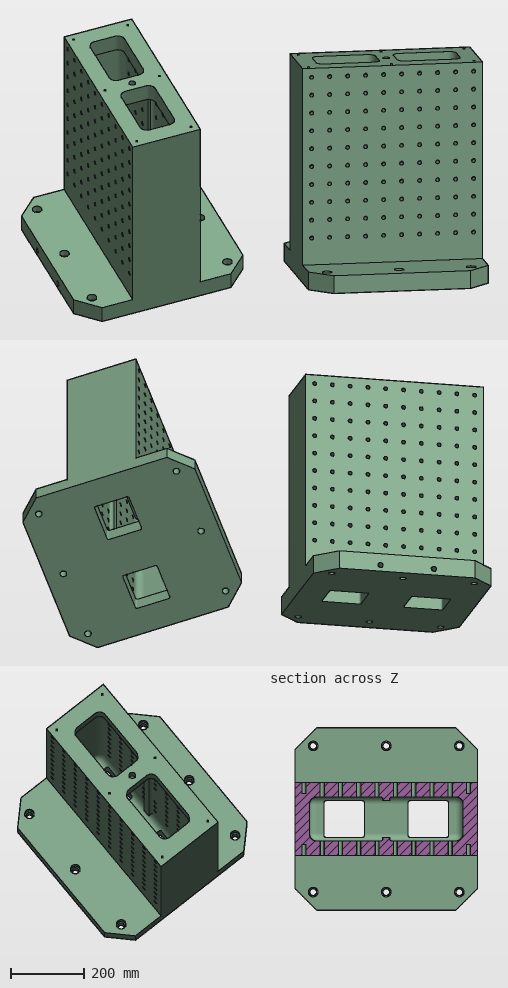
import math

import cadquery as cq

BASE_SIDE = 500
BASE_THICKNESS = 50
BASE_CORNER_CHAMFER = 60

TOTAL_HEIGHT = 600
COLUMN_DEPTH = 200

TOP_PLATE_THICKNESS = 50
CAVITY_LENGTH = 420
CAVITY_WIDTH = 120
CAVITY_RADIUS = 20
CAVITY_TOP = TOTAL_HEIGHT - TOP_PLATE_THICKNESS
CAVITY_HEIGHT = CAVITY_TOP - BASE_THICKNESS

RIB_WIDTH = 20
RIB_PROJECTION = 10
RIB_FILLET = 5

TOP_OPENING_LENGTH = 175
TOP_OPENING_WIDTH = 100
TOP_OPENING_WEB = 50
TOP_OPENING_X = (TOP_OPENING_WEB + TOP_OPENING_LENGTH) / 2

FLOOR_OPENING_LENGTH = 110
FLOOR_OPENING_WIDTH = 100
FLOOR_OPENING_RADIUS = 5
FLOOR_OPENING_X = 115

GRID_COUNT = 10
GRID_PITCH = 50
GRID_TOP_MARGIN = 25
GRID_DIAMETER = 10.2
GRID_BLIND_DEPTH = 30
GRID_THROUGH_DEPTH = (COLUMN_DEPTH - CAVITY_WIDTH) / 2
GRID_BLIND_MIDDLE = [(5, 4), (5, 5), (6, 4), (6, 5)]

MOUNT_SPACING = 200
MOUNT_DIAMETER = 18
MOUNT_BORE_DIAMETER = 26
MOUNT_BORE_DEPTH = 20

LIFT_DIAMETER = 17.5
LIFT_DEPTH = 40

COVER_X_SPACING = 230
COVER_Y = 80
COVER_DIAMETER = 5
COVER_DEPTH = 15

EDGE_HOLE_X = 75
EDGE_HOLE_Z = 17.5
EDGE_HOLE_DIAMETER = 14
EDGE_HOLE_DEPTH = 30

DRILL_POINT_ANGLE = 118

DOWN = cq.Vector(0, 0, -1)
BACKWARD = cq.Vector(0, 1, 0)
FORWARD = cq.Vector(0, -1, 0)


def standing_box(length, width, height, bottom):
    """Box centred on the Z axis that stands on the level bottom."""
    return cq.Workplane("XY", origin=(0, 0, bottom)).box(
        length, width, height, centered=(True, True, False)
    )


def flat_hole(mouth, direction, diameter, depth):
    """Cutter for a flat-ended hole that starts at mouth."""
    return cq.Solid.makeCylinder(diameter / 2, depth, cq.Vector(*mouth), direction)


def pointed_hole(mouth, direction, diameter, depth):
    """Cutter for a blind hole that ends in a drill point."""
    radius = diameter / 2
    point_length = radius / math.tan(math.radians(DRILL_POINT_ANGLE / 2))
    shank = flat_hole(mouth, direction, diameter, depth)
    shank_end = cq.Vector(*mouth) + direction * depth
    point = cq.Solid.makeCone(radius, 0, point_length, shank_end, direction)
    return shank.fuse(point)


def make_body():
    """Base plate with chamfered corners and the solid column on it."""
    base = standing_box(BASE_SIDE, BASE_SIDE, BASE_THICKNESS, 0)
    base = base.edges("|Z").chamfer(BASE_CORNER_CHAMFER)
    column = standing_box(BASE_SIDE, COLUMN_DEPTH, TOTAL_HEIGHT - BASE_THICKNESS, BASE_THICKNESS)
    return base.union(column)


def make_cavity():
    """Interior with rounded corners, a rounded floor edge and two wall ribs left standing."""
    cavity = standing_box(CAVITY_LENGTH, CAVITY_WIDTH, CAVITY_HEIGHT, BASE_THICKNESS)
    cavity = cavity.edges("|Z").fillet(CAVITY_RADIUS)
    cavity = cavity.faces("<Z").edges().fillet(CAVITY_RADIUS)
    return cavity.cut(make_rib(1)).cut(make_rib(-1))


def make_rib(side):
    """Rib on the +Y (side 1) or -Y (side -1) cavity wall, flared into it by fillets."""
    wall_y = side * CAVITY_WIDTH / 2
    crest_y = wall_y - side * RIB_PROJECTION
    flare_y = wall_y - side * RIB_FILLET
    half_width = RIB_WIDTH / 2
    root_x = half_width + RIB_FILLET
    arc_inset = RIB_FILLET * (1 - math.sqrt(0.5))
    arc_x = half_width + arc_inset
    arc_y = wall_y - side * arc_inset
    return (
        cq.Workplane("XY", origin=(0, 0, BASE_THICKNESS))
        .moveTo(-root_x, wall_y)
        .threePointArc((-arc_x, arc_y), (-half_width, flare_y))
        .lineTo(-half_width, crest_y)
        .lineTo(half_width, crest_y)
        .lineTo(half_width, flare_y)
        .threePointArc((arc_x, arc_y), (root_x, wall_y))
        .close()
        .extrude(CAVITY_HEIGHT)
    )


def opening_pair(center_x, length, width, radius, bottom, height):
    """Two rounded rectangular openings placed symmetrically about X = 0."""
    openings = (
        cq.Workplane("XY", origin=(0, 0, bottom))
        .pushPoints([(-center_x, 0), (center_x, 0)])
        .rect(length, width)
        .extrude(height)
    )
    return openings.edges("|Z").fillet(radius)


def grid_holes():
    """Fixture holes: blind in the top row, the outer columns and beside the middle, else through."""
    face_y = COLUMN_DEPTH / 2
    last = GRID_COUNT - 1
    holes = []
    for row in range(GRID_COUNT):
        z = TOTAL_HEIGHT - GRID_TOP_MARGIN - row * GRID_PITCH
        for column in range(GRID_COUNT):
            x = (column - last / 2) * GRID_PITCH
            at_border = row == 0 or column in (0, last)
            blind = at_border or (row, column) in GRID_BLIND_MIDDLE
            depth = GRID_BLIND_DEPTH if blind else GRID_THROUGH_DEPTH
            holes.append(flat_hole((x, -face_y, z), BACKWARD, GRID_DIAMETER, depth))
            holes.append(flat_hole((x, face_y, z), FORWARD, GRID_DIAMETER, depth))
    return holes


def mounting_holes():
    """Counterbored through holes, three along each of the front and rear edges."""
    holes = []
    for x in (-MOUNT_SPACING, 0, MOUNT_SPACING):
        for y in (-MOUNT_SPACING, MOUNT_SPACING):
            mouth = (x, y, BASE_THICKNESS)
            holes.append(flat_hole(mouth, DOWN, MOUNT_DIAMETER, BASE_THICKNESS))
            holes.append(flat_hole(mouth, DOWN, MOUNT_BORE_DIAMETER, MOUNT_BORE_DEPTH))
    return holes


def top_holes():
    """Central lifting hole and the cover screw holes around it."""
    holes = [pointed_hole((0, 0, TOTAL_HEIGHT), DOWN, LIFT_DIAMETER, LIFT_DEPTH)]
    for x in (-COVER_X_SPACING, 0, COVER_X_SPACING):
        for y in (-COVER_Y, COVER_Y):
            holes.append(flat_hole((x, y, TOTAL_HEIGHT), DOWN, COVER_DIAMETER, COVER_DEPTH))
    return holes


def edge_holes():
    """Blind holes in the front edge of the base."""
    return [
        pointed_hole((x, -BASE_SIDE / 2, EDGE_HOLE_Z), BACKWARD, EDGE_HOLE_DIAMETER, EDGE_HOLE_DEPTH)
        for x in (-EDGE_HOLE_X, EDGE_HOLE_X)
    ]


top_openings = opening_pair(
    TOP_OPENING_X,
    TOP_OPENING_LENGTH,
    TOP_OPENING_WIDTH,
    CAVITY_RADIUS,
    CAVITY_TOP,
    TOP_PLATE_THICKNESS,
)
floor_openings = opening_pair(
    FLOOR_OPENING_X,
    FLOOR_OPENING_LENGTH,
    FLOOR_OPENING_WIDTH,
    FLOOR_OPENING_RADIUS,
    0,
    BASE_THICKNESS + CAVITY_RADIUS,
)

body = make_body().cut(make_cavity()).cut(top_openings).cut(floor_openings)
drillings = grid_holes() + mounting_holes() + top_holes() + edge_holes()
result = cq.Workplane(body.val().cut(*drillings))